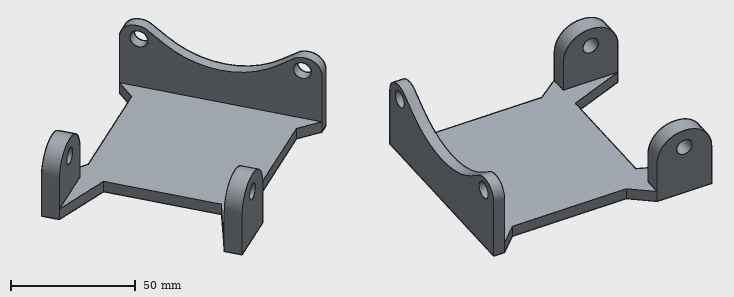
import cadquery as cq
import math

width = 86.0
length = 100.0
height = 34.0
half_width = width / 2
thickness = 5.0

body_half_width = 35.0
rear_flare = half_width - body_half_width
front_flare_length = 9.9
notch_half_width = 25.0

lug_width = 7.6
lug_depth = 25.0
lug_height = 31.0
lug_radius = 12.0
lug_hole_diameter = 7.0
lug_hole_height = 22.7
lug_outer = body_half_width + lug_width

ear_radius = 7.0
ear_flat = 0.8
saddle_bottom = 20.3
saddle_radius = 42.5
wall_hole_diameter = 7.5
wall_hole_offset = 34.7
wall_hole_height = 27.7


def base_plate():
    rear = length - thickness
    right_side = [
        (half_width, rear),
        (body_half_width, rear - rear_flare),
        (body_half_width, lug_depth + front_flare_length),
        (lug_outer, lug_depth),
        (lug_outer, 0),
        (body_half_width, 0),
        (notch_half_width, lug_depth),
    ]
    left_side = [(-x, y) for x, y in reversed(right_side)]
    return cq.Workplane("XY").polyline(right_side + left_side).close().extrude(thickness)


def lug(start_x):
    lug_block = cq.Workplane("XY").box(lug_width, lug_depth, lug_height, centered=False)
    lug_block = lug_block.edges("|X and >Z").fillet(lug_radius)
    hole = (
        cq.Workplane("YZ")
        .center(lug_depth / 2, lug_hole_height)
        .circle(lug_hole_diameter / 2)
        .extrude(lug_width)
    )
    return lug_block.cut(hole).translate((start_x, 0, 0))


def rear_wall():
    round_z = height - ear_radius
    outer_round_x = half_width - ear_radius
    inner_round_x = outer_round_x - ear_flat
    saddle_z = saddle_bottom + saddle_radius

    rise = saddle_z - round_z
    distance = math.hypot(inner_round_x, rise)
    tilt = math.atan2(inner_round_x, rise) - math.acos((ear_radius + saddle_radius) / distance)
    ramp_top = (inner_round_x - ear_radius * math.sin(tilt), round_z + ear_radius * math.cos(tilt))
    ramp_foot = (saddle_radius * math.sin(tilt), saddle_z - saddle_radius * math.cos(tilt))
    inner_mid = (
        inner_round_x - ear_radius * math.sin(tilt / 2),
        round_z + ear_radius * math.cos(tilt / 2),
    )
    outer_mid = (
        outer_round_x + ear_radius * math.sin(math.pi / 4),
        round_z + ear_radius * math.cos(math.pi / 4),
    )

    def mirrored(point):
        return (-point[0], point[1])

    outline = (
        cq.Workplane("XZ", origin=(0, length, 0))
        .moveTo(-half_width, 0)
        .lineTo(half_width, 0)
        .lineTo(half_width, round_z)
        .threePointArc(outer_mid, (outer_round_x, height))
        .lineTo(inner_round_x, height)
        .threePointArc(inner_mid, ramp_top)
        .lineTo(*ramp_foot)
        .threePointArc((0, saddle_bottom), mirrored(ramp_foot))
        .lineTo(*mirrored(ramp_top))
        .threePointArc(mirrored(inner_mid), (-inner_round_x, height))
        .lineTo(-outer_round_x, height)
        .threePointArc(mirrored(outer_mid), (-half_width, round_z))
        .close()
    )
    holes = (
        cq.Workplane("XZ", origin=(0, length, 0))
        .pushPoints([(-wall_hole_offset, wall_hole_height), (wall_hole_offset, wall_hole_height)])
        .circle(wall_hole_diameter / 2)
        .extrude(thickness)
    )
    return outline.extrude(thickness).cut(holes)


result = base_plate().union(rear_wall())
for start_x in (body_half_width, -lug_outer):
    result = result.union(lug(start_x))